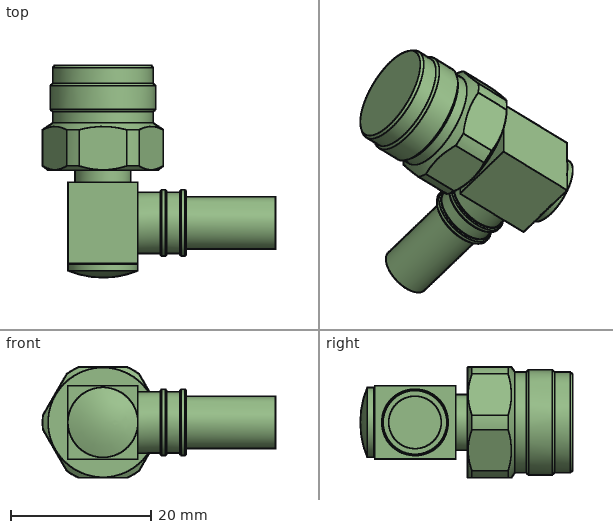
import cadquery as cq


BLOCK_WIDTH = 10.0
BLOCK_HEIGHT = 10.5
BLOCK_FRONT_Y = -5.77
BLOCK_LENGTH = 11.6
BLOCK_BACK_Y = BLOCK_FRONT_Y + BLOCK_LENGTH

NECK_RADIUS = 4.0
NECK_LENGTH = 1.67

CAP_RADIUS = BLOCK_WIDTH / 2
CAP_STEM_RADIUS = 4.2
CAP_GAP = 0.1
CAP_RIM_LENGTH = 0.95
DOME_HEIGHT = 1.01

HEX_ACROSS_FLATS = 15.88
HEX_CORNER_RADIUS = 8.64
FLATS_UP_TURN = 30
HEX_END_RADIUS = 7.83
HEX_END_BEVEL = 0.64
HEX_SIDE_END = 5.8
HEX_LENGTH = 6.78
SLEEVE_RADIUS = 7.2
SLEEVE_LENGTH = 15.05
SLEEVE_EDGE_BEVEL_LENGTH = 0.4
SLEEVE_EDGE_BEVEL_DEPTH = 0.3
SLEEVE_EDGE_RADIUS = SLEEVE_RADIUS - SLEEVE_EDGE_BEVEL_DEPTH
BAND_RADIUS = 7.55
BAND_BEVEL = BAND_RADIUS - SLEEVE_RADIUS
BAND_START = 8.38
BAND_LENGTH = 4.05
NUT_START_Y = BLOCK_BACK_Y + NECK_LENGTH

BARREL_RADIUS = 4.4
RING_RADIUS = 4.75
RING_WIDTH = 0.9
RING_CHAMFER = 0.2
RING_STARTS = (8.2, 11.0)
BARREL_START_X = BLOCK_WIDTH / 2
BARREL_END_X = RING_STARTS[-1] + RING_WIDTH
TUBE_RADIUS = 3.75
TUBE_END_X = 24.65


def cylinder_along_x(start, end, radius):
    return cq.Workplane("YZ").workplane(offset=start).circle(radius).extrude(end - start)


def revolve_about_y(outline):
    """Turn a closed outline of (radius, y) around the Y axis."""
    return outline.close().revolve(360, (0, 0, 0), (0, 1, 0))


def make_housing():
    block = cq.Workplane("XY").box(BLOCK_WIDTH, BLOCK_LENGTH, BLOCK_HEIGHT)
    block = block.translate((0, BLOCK_FRONT_Y + BLOCK_LENGTH / 2, 0))
    return block.faces(">Y").workplane().circle(NECK_RADIUS).extrude(NECK_LENGTH)


def make_cap():
    """Domed cap whose stem holds the rim a small gap away from the block."""
    rim_y = BLOCK_FRONT_Y - CAP_GAP
    dome_y = rim_y - CAP_RIM_LENGTH
    dome_radius = (CAP_RADIUS**2 + DOME_HEIGHT**2) / (2 * DOME_HEIGHT)
    outline = (
        cq.Workplane("XY")
        .moveTo(0, BLOCK_FRONT_Y)
        .lineTo(CAP_STEM_RADIUS, BLOCK_FRONT_Y)
        .lineTo(CAP_STEM_RADIUS, rim_y)
        .lineTo(CAP_RADIUS, rim_y)
        .lineTo(CAP_RADIUS, dome_y)
        .radiusArc((0, dome_y - DOME_HEIGHT), dome_radius)
    )
    return revolve_about_y(outline)


def make_nut():
    """Hexagonal nut with a banded round sleeve, bevelled at both ends of the hexagon."""
    hexagon = (
        cq.Workplane("XZ")
        .polygon(6, HEX_ACROSS_FLATS, circumscribed=True)
        .extrude(-HEX_LENGTH)
        .rotate((0, 0, 0), (0, 1, 0), FLATS_UP_TURN)
    )
    hex_envelope = revolve_about_y(
        cq.Workplane("XY").polyline([
            (0, 0),
            (HEX_END_RADIUS, 0),
            (HEX_CORNER_RADIUS, HEX_END_BEVEL),
            (HEX_CORNER_RADIUS, HEX_SIDE_END),
            (SLEEVE_RADIUS, HEX_LENGTH),
            (0, HEX_LENGTH),
        ])
    )
    band_end = BAND_START + BAND_LENGTH
    sleeve = revolve_about_y(
        cq.Workplane("XY").polyline([
            (0, HEX_LENGTH),
            (SLEEVE_RADIUS, HEX_LENGTH),
            (SLEEVE_RADIUS, BAND_START),
            (BAND_RADIUS, BAND_START + BAND_BEVEL),
            (BAND_RADIUS, band_end - BAND_BEVEL),
            (SLEEVE_RADIUS, band_end),
            (SLEEVE_RADIUS, SLEEVE_LENGTH - SLEEVE_EDGE_BEVEL_LENGTH),
            (SLEEVE_EDGE_RADIUS, SLEEVE_LENGTH),
            (0, SLEEVE_LENGTH),
        ])
    )
    nut = hexagon.intersect(hex_envelope).union(sleeve)
    return nut.translate((0, NUT_START_Y, 0))


def make_barrel():
    barrel = cylinder_along_x(BARREL_START_X, BARREL_END_X, BARREL_RADIUS)
    for start in RING_STARTS:
        ring = cylinder_along_x(start, start + RING_WIDTH, RING_RADIUS)
        barrel = barrel.union(ring.edges("%CIRCLE").chamfer(RING_CHAMFER))
    return barrel


def make_crimp_tube():
    return cylinder_along_x(BARREL_END_X, TUBE_END_X, TUBE_RADIUS)


housing = make_housing()
cap = make_cap()
nut = make_nut()
barrel = make_barrel()
crimp_tube = make_crimp_tube()

result = cq.Compound.makeCompound([
    housing.val(),
    cap.val(),
    nut.val(),
    barrel.val(),
    crimp_tube.val(),
])